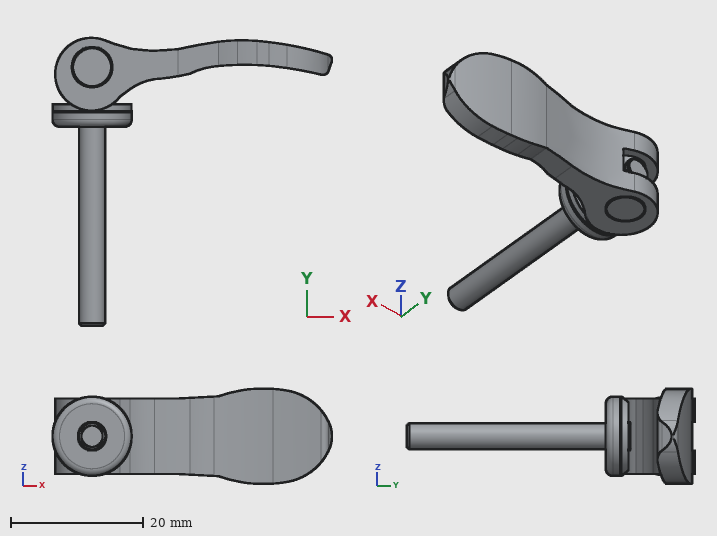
import cadquery as cq
import math


lever_thickness = 11.45
grip_width = 14.4
cam_radius = 11.0 / 2
cam_center_x = -0.1
cam_center_y = -1.05
slot_width = 4.3
slot_end_x = 3.45
slot_corner_radius = 0.3

pin_hole_diameter = 6.1
pin_diameter = 6.0
pin_chamfer = 0.15

stud_diameter = 4.0
stud_top_y = 3.0
stud_top_chamfer = 0.195
stud_tip_chamfer = 0.4
overall_length = 43.5

washer_diameter = 12.0
washer_hole_diameter = 4.3
washer_top_y = -6.83
washer_bottom_y = -9.0
washer_round = 1.1
pad_diameter = 11.9
pad_top_y = -5.55
pad_rim_y = -6.6

cam_top = (cam_center_x, cam_center_y + cam_radius)
cam_left = (cam_center_x - cam_radius, cam_center_y)
stud_tip_y = cam_top[1] - overall_length


def cam_point(degrees):
    """Point on the cam circle at an angle counter-clockwise from +X."""
    angle = math.radians(degrees)
    return (cam_center_x + cam_radius * math.cos(angle), cam_center_y + cam_radius * math.sin(angle))


def cylinder_along_y(diameter, y_low, y_high):
    """Solid cylinder on the stud axis between two Y levels."""
    plane = cq.Workplane("XZ", origin=(0, y_low, 0))
    return plane.circle(diameter / 2).extrude(y_low - y_high)


def lever_side_profile():
    """Cam head, curved neck and arched grip, extruded over the full grip width."""
    neck_top = cam_point(70)
    neck_bottom = cam_point(-38)
    return (
        cq.Workplane("XY")
        .workplane(offset=-grip_width / 2)
        .moveTo(*neck_top)
        .spline(
            [(3.25, 3.55), (5.95, 2.8), (9.15, 2.5), (12.95, 2.75), (16.3, 3.45), (19.1, 3.85)],
            tangents=[(1, -0.36), (1, 0.12)],
            includeCurrent=True,
        )
        .threePointArc((22.6, 4.1), (26.05, 3.85))
        .threePointArc((30.85, 3.15), (35.6, 1.9))
        .threePointArc((36.1, 1.55), (36.2, 0.95))
        .lineTo(35.7, -0.52)
        .threePointArc((35.3, -1.05), (34.52, -1.15))
        .threePointArc((30.95, -0.4), (27.3, 0.15))
        .threePointArc((22.85, 0.35), (18.4, 0.1))
        .threePointArc((16.52, -0.3), (14.75, -1.0))
        .threePointArc((12.1, -1.52), (9.4, -1.83))
        .threePointArc((7.4, -2.4), (5.7, -3.35))
        .lineTo(*neck_bottom)
        .threePointArc(cam_left, neck_top)
        .close()
        .extrude(grip_width)
    )


def lever_width_profile():
    """Width outline: parallel head, slight flare at the neck and a leaf-shaped grip."""
    head_half = lever_thickness / 2
    grip_half = grip_width / 2
    back_x = cam_left[0] - 0.45
    front_y = cam_center_y - cam_radius - 0.45
    depth = 2 * cam_radius + 0.85
    return (
        cq.Workplane("XZ", origin=(0, front_y, 0))
        .moveTo(back_x, -head_half)
        .lineTo(12.95, -head_half)
        .lineTo(19.1, -6.05)
        .threePointArc((20.5, -6.5), (21.95, -6.83))
        .threePointArc((23.85, -7.15), (25.83, -grip_half))
        .threePointArc((27.83, -7.15), (29.45, -6.9))
        .threePointArc((32.95, -5.45), (35.6, -2.35))
        .threePointArc((36.2, 0), (35.6, 2.35))
        .threePointArc((32.95, 5.45), (29.45, 6.9))
        .threePointArc((27.83, 7.15), (25.83, grip_half))
        .threePointArc((23.85, 7.15), (21.95, 6.83))
        .threePointArc((20.5, 6.5), (19.1, 6.05))
        .lineTo(12.95, head_half)
        .lineTo(back_x, head_half)
        .close()
        .extrude(-depth)
    )


def make_lever():
    """Cam lever with a fork slot for the stud and a bore for the pivot pin."""
    body = lever_side_profile().intersect(lever_width_profile())
    bore = cq.Workplane("XY").circle(pin_hole_diameter / 2).extrude(lever_thickness, both=True)
    slot_length = 2 * cam_radius
    slot = (
        cq.Workplane("XY")
        .box(slot_length, 3 * cam_radius, slot_width)
        .translate((slot_end_x - slot_length / 2, 0, 0))
        .edges(">X and |Y")
        .fillet(slot_corner_radius)
    )
    return body.cut(bore).cut(slot)


def make_pivot_pin():
    """Plain pin across the fork, cross-bored where the stud enters it."""
    pin = (
        cq.Workplane("XY")
        .workplane(offset=-lever_thickness / 2)
        .circle(pin_diameter / 2)
        .extrude(lever_thickness)
        .faces("<Z or >Z")
        .chamfer(pin_chamfer)
    )
    return pin.cut(cylinder_along_y(stud_diameter, -pin_diameter, pin_diameter))


def make_stud():
    """Straight stud with both ends chamfered."""
    stud = cylinder_along_y(stud_diameter, stud_tip_y, stud_top_y)
    return stud.faces(">Y").chamfer(stud_top_chamfer).faces("<Y").chamfer(stud_tip_chamfer)


def make_thrust_pad():
    """Disc with a rim at its base and a trough fitting the cam in its top."""
    disc = cylinder_along_y(pad_diameter, pad_rim_y, pad_top_y)
    rim = cylinder_along_y(washer_diameter, washer_top_y, pad_rim_y)
    trough = (
        cq.Workplane("XY")
        .center(cam_center_x, cam_center_y)
        .circle(cam_radius)
        .extrude(washer_diameter, both=True)
    )
    hole = cylinder_along_y(washer_hole_diameter, washer_top_y, pad_top_y)
    return disc.union(rim).cut(trough).cut(hole)


def make_washer():
    """Thick washer with a rounded lower edge."""
    disc = cylinder_along_y(washer_diameter, washer_bottom_y, washer_top_y)
    rounded = disc.faces("<Y").edges().fillet(washer_round)
    return rounded.cut(cylinder_along_y(washer_hole_diameter, washer_bottom_y, washer_top_y))


lever = make_lever()
pivot_pin = make_pivot_pin()
stud = make_stud()
thrust_pad = make_thrust_pad()
washer = make_washer()

result = cq.Compound.makeCompound(
    [lever.val(), pivot_pin.val(), stud.val(), thrust_pad.val(), washer.val()]
)